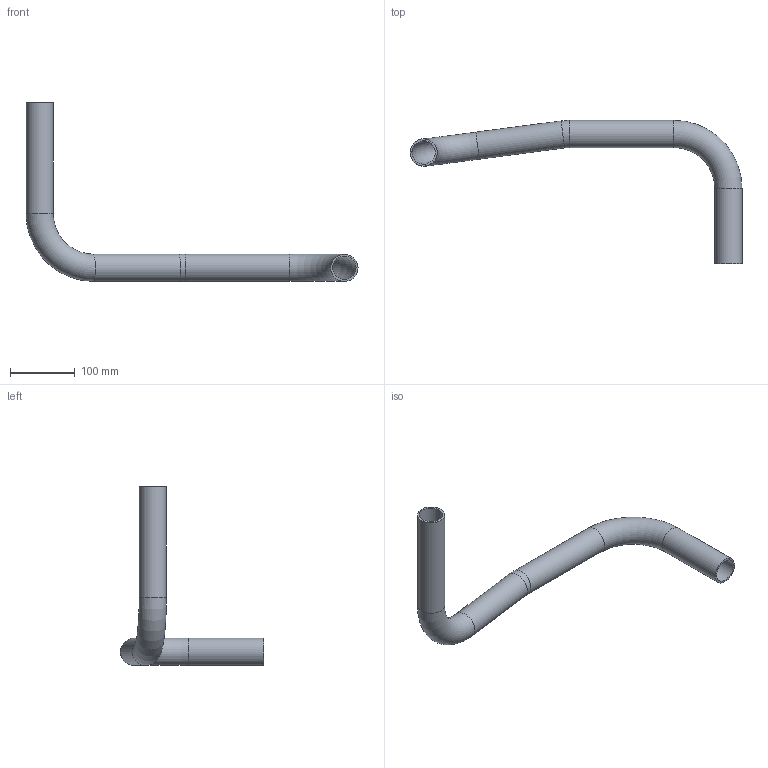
import cadquery as cq
import math

outer_diameter = 42.0
inner_diameter = 36.0
bend_radius = 2 * outer_diameter

front_leg = 200.0
long_leg = 250.0
skew_leg_x = 220.3
upright_leg = 255.0
skew_angle = math.radians(7.5)

skew_direction = cq.Vector(-math.cos(skew_angle), -math.sin(skew_angle), 0)
front_corner = cq.Vector(long_leg, 0, 0)
skew_corner = cq.Vector(0, 0, 0)
upright_corner = skew_direction * (skew_leg_x / math.cos(skew_angle))
front_end = front_corner + cq.Vector(0, -front_leg, 0)
upright_end = upright_corner + cq.Vector(0, 0, upright_leg)


def bend(before, corner, after):
    """Return the arc that rounds a centreline corner."""
    to_before = (before - corner).normalized()
    to_after = (after - corner).normalized()
    half_angle = to_before.getAngle(to_after) / 2
    setback = bend_radius / math.tan(half_angle)
    apex_distance = bend_radius / math.sin(half_angle) - bend_radius
    start = corner + to_before * setback
    middle = corner + (to_before + to_after).normalized() * apex_distance
    end = corner + to_after * setback
    return cq.Edge.makeThreePointArc(start, middle, end)


def centreline(points):
    """Join the points with straight legs and rounded corners."""
    edges = []
    leg_start = points[0]
    for before, corner, after in zip(points, points[1:], points[2:]):
        arc = bend(before, corner, after)
        edges.append(cq.Edge.makeLine(leg_start, arc.startPoint()))
        edges.append(arc)
        leg_start = arc.endPoint()
    edges.append(cq.Edge.makeLine(leg_start, points[-1]))
    return cq.Wire.assembleEdges(edges)


path = centreline([front_end, front_corner, skew_corner, upright_corner, upright_end])
section_plane = cq.Plane(origin=front_end, xDir=(1, 0, 0), normal=(0, 1, 0))
section = cq.Workplane(section_plane).circle(outer_diameter / 2).circle(inner_diameter / 2)

result = section.sweep(cq.Workplane(obj=path))